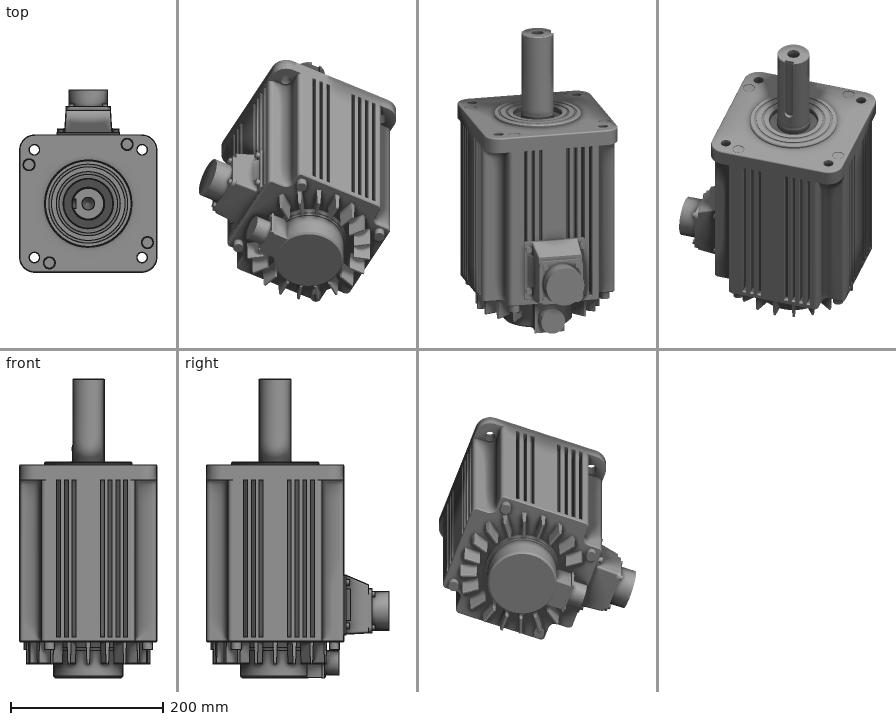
import cadquery as cq
import math

TOTAL_HEIGHT = 392.5
TOTAL_DEPTH = 239.5
FLANGE_TOP_Z = 279.8
FLANGE_THICKNESS = 20.0
CAP_TOP_Z = 53.8
CAP_BOTTOM_Z = 47.5
FLANGE_BOTTOM_Z = FLANGE_TOP_Z - FLANGE_THICKNESS

FRAME_SIZE = 180.0
HALF_FRAME = FRAME_SIZE / 2
OVERLAP = 2.0

FLANGE_CORNER_RADIUS = 20.0
FLANGE_EDGE_ROUND = 2.0
MOUNT_HOLE_OFFSET = 70.5
MOUNT_HOLE_DIAMETER = 13.5

BOLT_NEAR = 51.0
BOLT_FAR = 77.5
BOLT_RECESS_RADIUS = 8.0
BOLT_RECESS_DEPTH = 1.0
BOLT_PLUG_RADIUS = 7.0
BOLT_PLUG_GAP = 0.5
BOLT_HEAD_RADIUS = 6.5
BOLT_HEAD_BOTTOM_Z = 37.3

NOTCH_OFFSET = 61.5
NOTCH_INNER_RADIUS = 8.5
NOTCH_OUTER_RADIUS = 5.5
CAP_EDGE_CHAMFER = 1.0

STATOR_RADIUS = 83.5
GROOVE_WIDTH = 5.0
GROOVE_FIRST = 18.5
GROOVE_PITCH = 10.2
GROOVES_LEFT = 3
GROOVES_RIGHT = 4

PILOT_RADIUS = 57.3
PILOT_HEIGHT = 3.5
PILOT_CHAMFER = 1.0
PILOT_TOP_Z = FLANGE_TOP_Z + PILOT_HEIGHT
RING_INNER_RADII = (38.5, 48.3)
RING_WIDTH = 3.5
RING_DEPTH = 1.5
SEAL_RADIUS = 32.0
SEAL_CHAMFER = 0.8
SEAL_FLOOR_Z = 276.0

SHAFT_DIAMETER = 42.0
SHAFT_RADIUS = SHAFT_DIAMETER / 2
SHAFT_CHAMFER = 0.8
COLLAR_RADIUS = 21.5
COLLAR_TAPER_Z = 282.5
COLLAR_TOP_Z = 284.5
CENTRE_BORE_RADIUS = 8.2
CENTRE_BORE_DEPTH = 36.0
CENTRE_CONE_DEPTH = 4.7
KEY_WIDTH = 12.0
KEY_LENGTH = 90.0
KEY_FLOOR = 16.0

ENCODER_RADIUS = 45.5
ENCODER_BOTTOM_Z = 0.5
ENCODER_CHAMFER = 2.5
ENCODER_RIM_RADIUS = 47.0
ENCODER_RIM_BOTTOM_Z = 36.5
ENCODER_SEAT_RADIUS = 48.5
ENCODER_SEAT_BOTTOM_Z = 40.0

FIN_COUNT = 20
FIN_INNER_RADIUS = 60.0
FIN_OUTER_RADIUS = 81.2
FIN_ROOT_WIDTH = 6.0
FIN_TIP_WIDTH = 3.5
FIN_EDGE_WIDTH = 2.0
FIN_BOTTOM_Z = 18.5
FIN_BEVEL = 1.0
FIN_STEP = 360 / FIN_COUNT
FIN_FREE_ANGLE = 20.0

ENCODER_PLUG_Z = 20.0
ENCODER_PLUG_RADIUS = 16.0
ENCODER_PLUG_END_Y = 84.0
ENCODER_PLATE_SIZE = 2 * ENCODER_PLUG_Z
ENCODER_PLATE_NEAR_Y = 61.5
ENCODER_PLATE_FAR_Y = 64.7
ENCODER_BLOCK_WIDTH = 35.5
ENCODER_BLOCK_BOTTOM_Z = 0.8
ENCODER_SCREW_OFFSET = 16.5
ENCODER_SCREW_RADIUS = 2.0
ENCODER_SCREW_HEIGHT = 1.0

POWER_PLUG_Z = 88.3
POWER_PLUG_RADIUS = 25.5
POWER_PLUG_END_Y = TOTAL_DEPTH - HALF_FRAME
POWER_PLATE_SIZE = 58.5
POWER_PLATE_CORNER = 7.0
POWER_PLATE_FAR_Y = 127.0
POWER_SCREW_OFFSET = 22.0
POWER_SCREW_RADIUS = 3.5
POWER_SCREW_HEIGHT = 3.5
HOOD_OUTER_Y = 122.5
HOOD_INNER_WIDTH = 62.0
HOOD_INNER_Z = (57.5, 135.0)
HOOD_OUTER_WIDTH = 58.5
HOOD_OUTER_Z = (59.3, 122.5)
HOOD_EDGE_ROUND = 2.5
FOOT_WIDTH = 82.5
FOOT_Z = (57.0, 135.0)
FOOT_FAR_Y = 93.0
FOOT_CORNER = 2.7
FOOT_SCREW_X = 36.0
FOOT_SCREW_Z = (68.5, 125.5)
FOOT_SCREW_RADIUS = 4.0
FOOT_SCREW_HEIGHT = 4.7
GUSSET_Z = (75.5, 117.0)
GUSSET_SIZE = 6.0


def cylinder(radius, z_low, z_high):
    return cq.Workplane("XY").workplane(offset=z_low).circle(radius).extrude(z_high - z_low)


def cone(bottom_radius, top_radius, z_low, z_high):
    base = cq.Vector(0, 0, z_low)
    return cq.Workplane(cq.Solid.makeCone(bottom_radius, top_radius, z_high - z_low, base))


def quarter_turns(shape):
    """The shape together with its copies at 90, 180 and 270 degrees."""
    group = shape
    for turn in (90, 180, 270):
        group = group.union(shape.rotate((0, 0, 0), (0, 0, 1), turn))
    return group


def notched_prism(z_low, z_high):
    """Square prism with a rounded notch in every corner."""
    diagonal = math.sqrt(0.5)
    outer_mid = NOTCH_OUTER_RADIUS * diagonal
    outer_centre = (HALF_FRAME - NOTCH_OUTER_RADIUS, NOTCH_OFFSET - NOTCH_OUTER_RADIUS)
    notch_centre = NOTCH_OFFSET + NOTCH_INNER_RADIUS
    notch_mid = notch_centre - NOTCH_INNER_RADIUS * diagonal
    corner = [
        (HALF_FRAME, outer_centre[1]),
        (outer_centre[0] + outer_mid, outer_centre[1] + outer_mid),
        (outer_centre[0], NOTCH_OFFSET),
        (notch_centre, NOTCH_OFFSET),
        (notch_mid, notch_mid),
        (NOTCH_OFFSET, notch_centre),
        (NOTCH_OFFSET, outer_centre[0]),
        (outer_centre[1] + outer_mid, outer_centre[0] + outer_mid),
        (outer_centre[1], HALF_FRAME),
    ]
    outline = cq.Workplane("XY").workplane(offset=z_low).moveTo(HALF_FRAME, -outer_centre[1])
    for _ in range(4):
        for start in (0, 3, 6):
            arc = corner[start:start + 3]
            outline = outline.lineTo(*arc[0]).threePointArc(arc[1], arc[2])
        corner = [(-y, x) for x, y in corner]
    return outline.close().extrude(z_high - z_low)


def make_body():
    body = notched_prism(CAP_TOP_Z, FLANGE_BOTTOM_Z)
    places = [-(GROOVE_FIRST + i * GROOVE_PITCH) for i in range(GROOVES_LEFT)]
    places += [GROOVE_FIRST + i * GROOVE_PITCH for i in range(GROOVES_RIGHT)]
    grooves = (
        cq.Workplane("XY")
        .workplane(offset=CAP_TOP_Z)
        .pushPoints([(x, -HALF_FRAME) for x in places])
        .rect(GROOVE_WIDTH, HALF_FRAME)
        .extrude(FLANGE_BOTTOM_Z - CAP_TOP_Z)
        .cut(cylinder(STATOR_RADIUS, CAP_TOP_Z, FLANGE_BOTTOM_Z))
    )
    return body.cut(quarter_turns(grooves))


def make_rear_cap():
    return notched_prism(CAP_BOTTOM_Z, CAP_TOP_Z).faces("<Z").chamfer(CAP_EDGE_CHAMFER)


def make_flange():
    flange = (
        cq.Workplane("XY")
        .workplane(offset=FLANGE_BOTTOM_Z)
        .rect(FRAME_SIZE, FRAME_SIZE)
        .extrude(FLANGE_THICKNESS)
        .edges("|Z")
        .fillet(FLANGE_CORNER_RADIUS)
        .faces(">Z")
        .edges()
        .fillet(FLANGE_EDGE_ROUND)
        .faces("<Z")
        .workplane()
        .rect(2 * MOUNT_HOLE_OFFSET, 2 * MOUNT_HOLE_OFFSET, forConstruction=True)
        .vertices()
        .hole(MOUNT_HOLE_DIAMETER)
    )
    recess_floor = FLANGE_TOP_Z - BOLT_RECESS_DEPTH
    recess = cylinder(BOLT_RECESS_RADIUS, recess_floor, FLANGE_TOP_Z)
    plug = cylinder(BOLT_PLUG_RADIUS, recess_floor, FLANGE_TOP_Z - BOLT_PLUG_GAP)
    recess = recess.cut(plug).translate((BOLT_NEAR, BOLT_FAR, 0))
    return flange.cut(quarter_turns(recess))


def add_pilot(motor):
    pilot = cylinder(PILOT_RADIUS, FLANGE_BOTTOM_Z, PILOT_TOP_Z).faces(">Z").chamfer(PILOT_CHAMFER)
    motor = motor.union(pilot)
    for radius in RING_INNER_RADII:
        ring = cylinder(radius + RING_WIDTH, PILOT_TOP_Z - RING_DEPTH, PILOT_TOP_Z)
        ring = ring.cut(cylinder(radius, PILOT_TOP_Z - RING_DEPTH, PILOT_TOP_Z))
        motor = motor.cut(ring)
    seal_recess = cylinder(SEAL_RADIUS, SEAL_FLOOR_Z, PILOT_TOP_Z)
    motor = motor.cut(seal_recess)
    mouth = cone(SEAL_RADIUS, SEAL_RADIUS + SEAL_CHAMFER, PILOT_TOP_Z - SEAL_CHAMFER, PILOT_TOP_Z)
    return motor.cut(mouth)


def make_shaft():
    shaft = cylinder(SHAFT_RADIUS, SEAL_FLOOR_Z - OVERLAP, TOTAL_HEIGHT).faces(">Z").chamfer(SHAFT_CHAMFER)
    collar = cylinder(COLLAR_RADIUS, SEAL_FLOOR_Z - OVERLAP, COLLAR_TAPER_Z)
    taper = cone(COLLAR_RADIUS, SHAFT_RADIUS, COLLAR_TAPER_Z, COLLAR_TOP_Z)
    shaft = shaft.union(collar).union(taper)
    bore_floor = TOTAL_HEIGHT - CENTRE_BORE_DEPTH
    bore = (
        cq.Workplane("XZ")
        .moveTo(0, TOTAL_HEIGHT)
        .lineTo(CENTRE_BORE_RADIUS, TOTAL_HEIGHT)
        .lineTo(CENTRE_BORE_RADIUS, bore_floor)
        .lineTo(0, bore_floor - CENTRE_CONE_DEPTH)
        .close()
        .revolve(360, (0, 0, 0), (0, 1, 0))
    )
    straight = KEY_LENGTH - KEY_WIDTH / 2
    keyway = (
        cq.Workplane("YZ", origin=(-KEY_FLOOR, 0, TOTAL_HEIGHT))
        .moveTo(-KEY_WIDTH / 2, 0)
        .lineTo(-KEY_WIDTH / 2, -straight)
        .threePointArc((0, -KEY_LENGTH), (KEY_WIDTH / 2, -straight))
        .lineTo(KEY_WIDTH / 2, 0)
        .close()
        .extrude(-SHAFT_RADIUS)
    )
    return shaft.cut(bore).cut(keyway)


def make_encoder():
    encoder = cylinder(ENCODER_RADIUS, ENCODER_BOTTOM_Z, CAP_TOP_Z).faces("<Z").chamfer(ENCODER_CHAMFER)
    rim = cylinder(ENCODER_RIM_RADIUS, ENCODER_RIM_BOTTOM_Z, CAP_TOP_Z)
    seat = cylinder(ENCODER_SEAT_RADIUS, ENCODER_SEAT_BOTTOM_Z, CAP_TOP_Z)
    return encoder.union(rim).union(seat)


def make_fins():
    """Upright fins that thin out downwards and are bevelled along the lower edge."""
    bevel_z = FIN_BOTTOM_Z + FIN_BEVEL
    half_profile = [
        (FIN_ROOT_WIDTH / 2, CAP_BOTTOM_Z + OVERLAP),
        (FIN_ROOT_WIDTH / 2, CAP_BOTTOM_Z),
        (FIN_TIP_WIDTH / 2, bevel_z),
        (FIN_EDGE_WIDTH / 2, FIN_BOTTOM_Z),
    ]
    profile = half_profile + [(-y, z) for y, z in reversed(half_profile)]
    fin = cq.Workplane("YZ").polyline(profile).close().extrude(FIN_OUTER_RADIUS)
    fin = fin.cut(cylinder(FIN_INNER_RADIUS, 0, CAP_TOP_Z))
    fins = []
    for i in range(FIN_COUNT):
        angle = i * FIN_STEP
        if abs(angle - 90) > FIN_FREE_ANGLE:
            fins.append(fin.rotate((0, 0, 0), (0, 0, 1), angle))
    return fins


def make_bolt_heads():
    head = cylinder(BOLT_HEAD_RADIUS, BOLT_HEAD_BOTTOM_Z, CAP_BOTTOM_Z + OVERLAP)
    return quarter_turns(head.translate((BOLT_NEAR, BOLT_FAR, 0)))


def box_between(width, y_range, z_range):
    """Box centred on X, between the given Y and Z limits."""
    size = (width, y_range[1] - y_range[0], z_range[1] - z_range[0])
    box = cq.Workplane("XY").box(*size, centered=(True, False, False))
    return box.translate((0, y_range[0], z_range[0]))


def round_bars(points, radius, y_start, length):
    """Round bars along +Y at the given (x, z) points."""
    bars = cq.Workplane("XZ", origin=(0, y_start, 0)).pushPoints(points)
    return bars.circle(radius).extrude(-length)


def square_points(offset, z_centre):
    return [(x, z_centre + z) for x in (-offset, offset) for z in (-offset, offset)]


def make_encoder_connector():
    half_plate = ENCODER_PLATE_SIZE / 2
    block_z = (ENCODER_BLOCK_BOTTOM_Z, ENCODER_PLUG_Z + half_plate)
    plate_z = (ENCODER_PLUG_Z - half_plate, ENCODER_PLUG_Z + half_plate)
    block = box_between(ENCODER_BLOCK_WIDTH, (0, ENCODER_PLATE_FAR_Y), block_z)
    plate = box_between(ENCODER_PLATE_SIZE, (ENCODER_PLATE_NEAR_Y, ENCODER_PLATE_FAR_Y), plate_z)
    plug_length = ENCODER_PLUG_END_Y - ENCODER_PLATE_NEAR_Y
    plug = round_bars([(0, ENCODER_PLUG_Z)], ENCODER_PLUG_RADIUS, ENCODER_PLATE_NEAR_Y, plug_length)
    screws = round_bars(
        square_points(ENCODER_SCREW_OFFSET, ENCODER_PLUG_Z),
        ENCODER_SCREW_RADIUS,
        ENCODER_PLATE_NEAR_Y,
        ENCODER_PLATE_FAR_Y - ENCODER_PLATE_NEAR_Y + ENCODER_SCREW_HEIGHT,
    )
    return block.union(plate).union(plug).union(screws)


def make_hood():
    """Tapered connector hood with rounded long edges."""
    depth = HOOD_OUTER_Y - FOOT_FAR_Y
    inner_centre = sum(HOOD_INNER_Z) / 2
    outer_centre = sum(HOOD_OUTER_Z) / 2
    return (
        cq.Workplane("XZ", origin=(0, FOOT_FAR_Y, 0))
        .center(0, inner_centre)
        .rect(HOOD_INNER_WIDTH, HOOD_INNER_Z[1] - HOOD_INNER_Z[0])
        .workplane(offset=-depth)
        .center(0, outer_centre - inner_centre)
        .rect(HOOD_OUTER_WIDTH, HOOD_OUTER_Z[1] - HOOD_OUTER_Z[0])
        .loft(ruled=True)
        .edges("not(#Y)")
        .fillet(HOOD_EDGE_ROUND)
    )


def make_power_connector():
    foot = box_between(FOOT_WIDTH, (HALF_FRAME - OVERLAP, FOOT_FAR_Y), FOOT_Z)
    foot = foot.edges("|Y").fillet(FOOT_CORNER)
    foot_screws = round_bars(
        [(x, z) for x in (-FOOT_SCREW_X, FOOT_SCREW_X) for z in FOOT_SCREW_Z],
        FOOT_SCREW_RADIUS,
        FOOT_FAR_Y,
        FOOT_SCREW_HEIGHT,
    )
    gusset_reach = HOOD_INNER_WIDTH / 2 + GUSSET_SIZE
    gussets = (
        cq.Workplane("XY", origin=(0, FOOT_FAR_Y, GUSSET_Z[0]))
        .moveTo(-gusset_reach, 0)
        .lineTo(gusset_reach, 0)
        .lineTo(gusset_reach - GUSSET_SIZE, GUSSET_SIZE)
        .lineTo(GUSSET_SIZE - gusset_reach, GUSSET_SIZE)
        .close()
        .extrude(GUSSET_Z[1] - GUSSET_Z[0])
    )
    half_plate = POWER_PLATE_SIZE / 2
    plate_z = (POWER_PLUG_Z - half_plate, POWER_PLUG_Z + half_plate)
    plate = box_between(POWER_PLATE_SIZE, (HOOD_OUTER_Y, POWER_PLATE_FAR_Y), plate_z)
    plate = plate.edges("|Y").fillet(POWER_PLATE_CORNER)
    plug = round_bars(
        [(0, POWER_PLUG_Z)], POWER_PLUG_RADIUS, POWER_PLATE_FAR_Y, POWER_PLUG_END_Y - POWER_PLATE_FAR_Y
    )
    plate_screws = round_bars(
        square_points(POWER_SCREW_OFFSET, POWER_PLUG_Z),
        POWER_SCREW_RADIUS,
        POWER_PLATE_FAR_Y,
        POWER_SCREW_HEIGHT,
    )
    connector = foot
    for piece in (make_hood(), gussets, foot_screws, plate, plug, plate_screws):
        connector = connector.union(piece)
    return connector


motor = make_body().union(make_rear_cap()).union(make_flange())
motor = add_pilot(motor)
for piece in (make_shaft(), make_encoder(), make_bolt_heads(), *make_fins()):
    motor = motor.union(piece)
result = motor.union(make_encoder_connector()).union(make_power_connector())